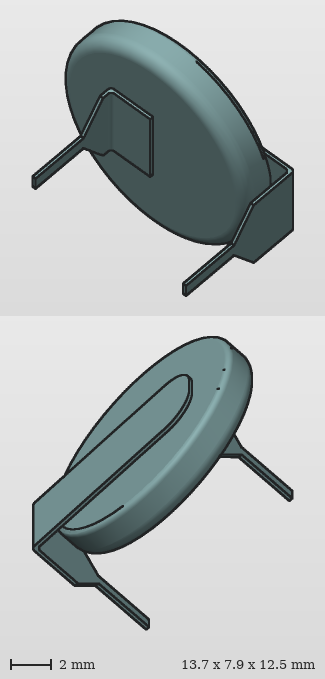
import cadquery as cq

cell_diameter = 12.5
cell_radius = cell_diameter / 2
cell_thickness = 2.0
front_rim_radius = 0.7
back_rim_radius = 0.3

overall_length = 13.7
sheet = 0.2
bend_radius = 0.2
tab_width = 4.47
pin_width = 0.78
shoulder_depth = 0.78
neck_depth = 2.2
pin_depth = 5.7
front_leg_x = -2.82
back_leg_x = overall_length - cell_radius
back_tab_end_x = -3.63
back_tab_corner_radius = 1.71


def make_cell():
    body = cq.Workplane("XZ").circle(cell_radius).extrude(-cell_thickness)
    body = body.faces("<Y").edges().fillet(front_rim_radius)
    return body.faces(">Y").edges().fillet(back_rim_radius)


def make_terminal(tab_end_x, leg_x, outer_y):
    """Bent strip: a tab along X, then a leg running towards -Y that tapers to a pin."""
    toward_tab = 1 if tab_end_x > leg_x else -1
    inner_x = leg_x + toward_tab * sheet
    inner_y = outer_y - sheet
    strip = (
        cq.Workplane("XY")
        .moveTo(tab_end_x, outer_y)
        .lineTo(leg_x, outer_y)
        .lineTo(leg_x, -pin_depth)
        .lineTo(inner_x, -pin_depth)
        .lineTo(inner_x, inner_y)
        .lineTo(tab_end_x, inner_y)
        .close()
        .extrude(tab_width / 2, both=True)
    )
    bend_corners = [(leg_x, outer_y), (inner_x, inner_y)]
    for x, y in bend_corners:
        corner = cq.selectors.NearestToPointSelector((x, y, 0))
        strip = strip.edges("|Z").edges(corner).fillet(bend_radius)

    half_tab = tab_width / 2
    half_pin = pin_width / 2
    leg_outline = (
        cq.Workplane("YZ")
        .polyline([
            (outer_y, half_tab),
            (-shoulder_depth, half_tab),
            (-neck_depth, half_pin),
            (-pin_depth, half_pin),
            (-pin_depth, -half_pin),
            (-neck_depth, -half_pin),
            (-shoulder_depth, -half_tab),
            (outer_y, -half_tab),
        ])
        .close()
        .extrude(overall_length, both=True)
    )
    return strip.intersect(leg_outline)


cell = make_cell()
front_terminal = make_terminal(0, front_leg_x, 0)
back_terminal = make_terminal(back_tab_end_x, back_leg_x, cell_thickness + sheet)

back_terminal = back_terminal.faces("<X").edges("|Y").fillet(back_tab_corner_radius)

result = cell.union(front_terminal).union(back_terminal)